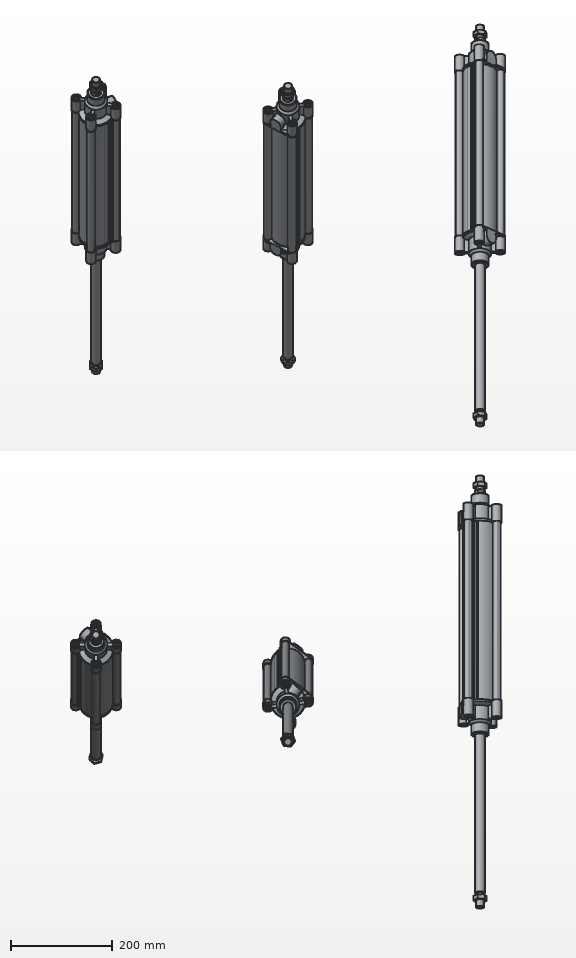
import cadquery as cq
import math

length = 899.0
end_z = length / 2
barrel_top = 346.0
barrel_bottom = -26.0
cap_post_height = 35.0

post_spacing = 57.0
post_dia = 20.0
post_hole_dia = 6.7
post_hole_depth = 18.0
post_recess_dia = 13.5
post_recess_depth = 2.0
flange_dia = 68.0
flange_edge_height = 4.5
shoulder_height = 9.0
hub_dia = 45.0
hub_height = 38.0
neck_dia = 35.0
taper_height = 5.0
neck_top = 64.0
neck_chamfer = 2.0
rib_thickness = 7.0
port_boss_dia = 24.0
port_boss_offset = 4.5
port_axis_height = 18.0

bore_dia = 63.0
tube_dia = 67.0
lobe_dia = 16.0
lobe_spacing = 57.5
lip_thickness = 3.0
lip_reach = 34.0
lip_places = (11.0, 18.0)

rod_dia = 20.0
rod_chamfer = 2.0
flat_spacing = 16.0
flat_length = 5.0
flat_setback = 2.0
thread_dia = 16.0
thread_chamfer = 1.0
thread_length = 29.0

nut_flats = 24.0
nut_height = 9.0
nut_chamfer_dia = 23.0
nut_chamfer_slope = math.tan(math.radians(30))
nut_from_end = 14.0

lobe_reach = lobe_spacing / 2
outer_half = (post_spacing + post_dia) / 2


def corner_cylinders(dia, height, base=0.0):
    """Four upright cylinders at the corners of the square post pattern."""
    return (
        cq.Workplane("XY")
        .workplane(offset=base)
        .rect(post_spacing, post_spacing, forConstruction=True)
        .vertices()
        .circle(dia / 2)
        .extrude(height)
    )


def lobe_column(height):
    """Round column on the Z axis whose wall is four quarter faces."""
    radius = lobe_dia / 2
    diagonal = radius * math.sqrt(0.5)
    return (
        cq.Workplane("XY")
        .moveTo(radius, 0)
        .threePointArc((diagonal, diagonal), (0, radius))
        .threePointArc((-diagonal, diagonal), (-radius, 0))
        .threePointArc((-diagonal, -diagonal), (0, -radius))
        .threePointArc((diagonal, -diagonal), (radius, 0))
        .close()
        .extrude(height, clean=False)
    )


def make_barrel():
    """Tube with four corner lobes and a pair of thin lips on each X side."""
    height = barrel_top - barrel_bottom
    barrel = cq.Workplane("XY").circle(tube_dia / 2).extrude(height)
    for x_side in (-1, 1):
        for y_side in (-1, 1):
            lobe = lobe_column(height).translate((x_side * lobe_reach, y_side * lobe_reach, 0))
            barrel = barrel.union(lobe, clean=False)
    for lip_y in lip_places:
        lip = (
            cq.Workplane("XY")
            .center(0, lip_y)
            .rect(2 * lip_reach, lip_thickness)
            .extrude(height)
        )
        barrel = barrel.union(lip, clean=False)
    bore = cq.Workplane("XY").circle(bore_dia / 2).extrude(height)
    return barrel.cut(bore, clean=False).translate((0, 0, barrel_bottom))


def cap_core():
    """Turned flange, conical shoulder, hub, taper and neck."""
    neck_radius = neck_dia / 2
    return (
        cq.Workplane("XZ")
        .polyline(
            [
                (0, 0),
                (flange_dia / 2, 0),
                (flange_dia / 2, flange_edge_height),
                (hub_dia / 2, shoulder_height),
                (hub_dia / 2, hub_height),
                (neck_radius, hub_height + taper_height),
                (neck_radius, neck_top - neck_chamfer),
                (neck_radius - neck_chamfer, neck_top),
                (0, neck_top),
            ]
        )
        .close()
        .revolve(360, (0, 0, 0), (0, 1, 0))
    )


def cap_ribs():
    """Two crossed diagonal walls that tie the hub to the posts."""
    rib_span = post_spacing * math.sqrt(2)
    rib = cq.Workplane("XY").rect(rib_span, rib_thickness).extrude(cap_post_height)
    ribs = rib.rotate((0, 0, 0), (0, 0, 1), 45)
    return ribs.union(ribs.rotate((0, 0, 0), (0, 0, 1), 90))


def cap_port_side():
    """Flat-faced base on the +Y side with the port boss standing on it."""
    base = (
        cq.Workplane("XY")
        .center(0, outer_half / 2)
        .rect(post_spacing, outer_half)
        .extrude(flange_edge_height)
    )
    boss_base = (
        cq.Workplane("XY")
        .center(port_boss_offset, outer_half / 2)
        .rect(port_boss_dia, outer_half)
        .extrude(port_axis_height)
    )
    boss = (
        cq.Workplane("XZ")
        .center(port_boss_offset, port_axis_height)
        .circle(port_boss_dia / 2)
        .extrude(-outer_half)
    )
    return base.union(boss_base).union(boss)


def make_cap():
    """End cap standing on Z = 0 with its neck pointing up."""
    cap = cap_core().union(cap_ribs()).union(cap_port_side())
    cap = cap.union(corner_cylinders(post_dia, cap_post_height))
    recess_base = cap_post_height - post_recess_depth
    cap = cap.cut(corner_cylinders(post_recess_dia, post_recess_depth, recess_base))
    cap = cap.cut(corner_cylinders(post_hole_dia, post_hole_depth, cap_post_height - post_hole_depth))
    return cap.cut(cq.Workplane("XY").circle(rod_dia / 2).extrude(neck_top))


def make_rod():
    """Through rod with a threaded stud at each end and wrench flats at the top."""
    shoulder_z = end_z - thread_length
    rod = (
        cq.Workplane("XY")
        .workplane(offset=-shoulder_z)
        .circle(rod_dia / 2)
        .extrude(2 * shoulder_z)
        .faces("<Z or >Z")
        .chamfer(rod_chamfer)
    )
    stud = (
        cq.Workplane("XY")
        .workplane(offset=-end_z)
        .circle(thread_dia / 2)
        .extrude(length)
        .faces("<Z or >Z")
        .chamfer(thread_chamfer)
    )
    rod = rod.union(stud)
    for side in (-1, 1):
        flat = (
            cq.Workplane("XY")
            .workplane(offset=shoulder_z - flat_setback - flat_length)
            .center(side * (flat_spacing + rod_dia) / 2, 0)
            .rect(rod_dia, rod_dia)
            .extrude(flat_length)
        )
        rod = rod.cut(flat)
    return rod


def make_nut():
    """Hexagon nut on Z = 0 with two corners on Y and its upper rim chamfered."""
    corner_dia = nut_flats / math.cos(math.radians(30))
    rim_drop = (corner_dia - nut_chamfer_dia) / 2 * nut_chamfer_slope
    hexagon = (
        cq.Workplane("XY")
        .polygon(6, corner_dia)
        .extrude(nut_height)
        .rotate((0, 0, 0), (0, 0, 1), 90)
    )
    envelope = (
        cq.Workplane("XZ")
        .polyline(
            [
                (0, 0),
                (corner_dia / 2, 0),
                (corner_dia / 2, nut_height - rim_drop),
                (nut_chamfer_dia / 2, nut_height),
                (0, nut_height),
            ]
        )
        .close()
        .revolve(360, (0, 0, 0), (0, 1, 0))
    )
    thread = cq.Workplane("XY").circle(thread_dia / 2).extrude(nut_height)
    return hexagon.intersect(envelope).cut(thread)


barrel = make_barrel()
rod = make_rod()

top_cap = make_cap().translate((0, 0, barrel_top))
bottom_cap = make_cap().mirror("XY").translate((0, 0, barrel_bottom))

nut_base = end_z - nut_from_end - nut_height
top_nut = make_nut().translate((0, 0, nut_base))
bottom_nut = top_nut.mirror("XY")

result = cq.Compound.makeCompound(
    [
        barrel.val(),
        top_cap.val(),
        bottom_cap.val(),
        rod.val(),
        top_nut.val(),
        bottom_nut.val(),
    ]
)